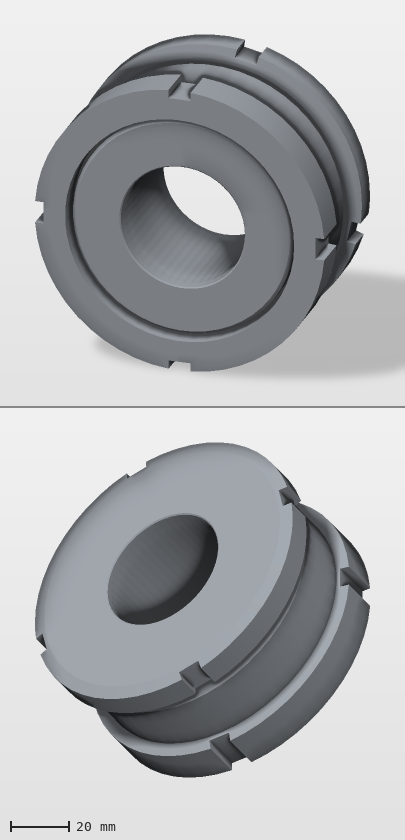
import cadquery as cq

outer_radius = 52.5
total_length = 51.0
front_y = -total_length / 2
back_y = total_length / 2
rim_chamfer_length = 1.0
rim_chamfer_radius = 48.0
slot_count = 4
slot_width = 8.0
slot_floor_radius = 49.2

flange_length = 14.7
barrel_radius = 48.0
barrel_end_y = front_y + 38.0
barrel_chamfer = 3.6
mouth_radius = 41.5
mouth_depth = 9.4

shank_radius = 40.0
shank_chamfer = 1.2
shank_recess = 3.1
neck_radius = 38.5
shank_end_y = barrel_end_y + 0.3
collar_length = 11.0
collar_rotation = 12.4
collar_recess_radius = 46.4
collar_recess_depth = 1.0
bore_radius = 22.5
bore_chamfer = 0.4


def revolve_about_y(points):
    """Revolve a closed outline of (radius, y) points about the Y axis."""
    return cq.Workplane("XY").polyline(points).close().revolve(360, (0, 0), (0, 1))


def rim_slots(start_y, length, rotation=0.0):
    """Return the cutters for equally spaced wrench slots in a rim."""
    cutter_depth = 2 * (outer_radius - slot_floor_radius)
    cutters = cq.Workplane("XY")
    for index in range(slot_count):
        cutter = (
            cq.Workplane("XY")
            .box(slot_width, length, cutter_depth, centered=(True, False, False))
            .translate((0, start_y, slot_floor_radius))
            .rotate((0, 0, 0), (0, 1, 0), rotation + index * 360 / slot_count)
        )
        cutters = cutters.add(cutter)
    return cutters.combine()


def make_housing():
    flange_end_y = front_y + flange_length
    mouth_floor_y = front_y + mouth_depth
    body = revolve_about_y([
        (mouth_radius, front_y),
        (outer_radius, front_y),
        (outer_radius, flange_end_y - rim_chamfer_length),
        (rim_chamfer_radius, flange_end_y),
        (barrel_radius, barrel_end_y - barrel_chamfer),
        (barrel_radius - barrel_chamfer, barrel_end_y),
        (shank_radius, barrel_end_y),
        (shank_radius, mouth_floor_y),
        (mouth_radius, mouth_floor_y),
    ])
    return body.cut(rim_slots(front_y, flange_length))


def make_screw():
    shank_start_y = front_y + shank_recess
    shank_taper = shank_radius - neck_radius
    collar_start_y = back_y - collar_length
    body = revolve_about_y([
        (bore_radius + bore_chamfer, shank_start_y),
        (shank_radius - shank_chamfer, shank_start_y),
        (shank_radius, shank_start_y + shank_chamfer),
        (shank_radius, shank_end_y - shank_taper),
        (neck_radius, shank_end_y),
        (neck_radius, collar_start_y + collar_recess_depth),
        (collar_recess_radius, collar_start_y + collar_recess_depth),
        (collar_recess_radius, collar_start_y),
        (rim_chamfer_radius, collar_start_y),
        (outer_radius, collar_start_y + rim_chamfer_length),
        (outer_radius, back_y - rim_chamfer_length),
        (rim_chamfer_radius, back_y),
        (bore_radius + bore_chamfer, back_y),
        (bore_radius, back_y - bore_chamfer),
        (bore_radius, shank_start_y + bore_chamfer),
    ])
    return body.cut(rim_slots(collar_start_y, collar_length, collar_rotation))


housing = make_housing()
screw = make_screw()

result = cq.Compound.makeCompound([housing.val(), screw.val()])